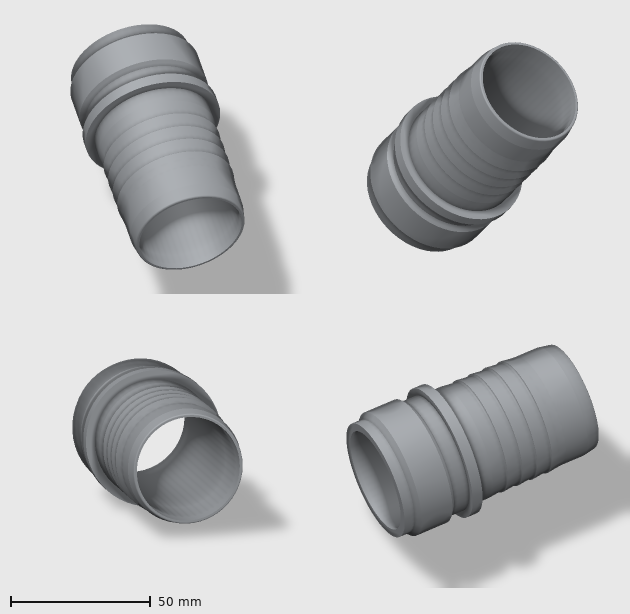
import cadquery as cq

length = 80.0
bore_diameter = 38.0

spigot_diameter = 44.0
spigot_end = 4.0
band_diameter = 47.8
band_start = spigot_end + (band_diameter - spigot_diameter) / 2
band_end = 18.3
neck_diameter = 44.5
neck_start = band_end + (band_diameter - neck_diameter) / 2

collar_diameter = 50.0
collar_start = 26.0
collar_end = 30.0

barb_count = 5
barb_pitch = 6.0
barb_start = 36.0
crest_diameter = 43.4
tail_diameter = 42.0
step_length = 0.8

tip_start = 74.9
tip_diameter = 40.3
rim_rounding = 0.5

bore_radius = bore_diameter / 2
crest_radius = crest_diameter / 2
tail_radius = tail_diameter / 2
tip_radius = tip_diameter / 2
barb_slope = (crest_radius - tail_radius) / barb_pitch
valley_radius = crest_radius - barb_slope * (barb_pitch - step_length)


def add_inlet(profile):
    """Trace the spigot, band, neck and collar up to the first barb."""
    return (
        profile.lineTo(0, spigot_diameter / 2)
        .lineTo(spigot_end, spigot_diameter / 2)
        .lineTo(band_start, band_diameter / 2)
        .lineTo(band_end, band_diameter / 2)
        .lineTo(neck_start, neck_diameter / 2)
        .lineTo(collar_start, neck_diameter / 2)
        .lineTo(collar_start, collar_diameter / 2)
        .lineTo(collar_end, collar_diameter / 2)
        .lineTo(collar_end, crest_radius)
        .lineTo(barb_start, crest_radius)
    )


def add_barbs(profile):
    """Trace the barbs; the last one runs out into the plain tail."""
    for index in range(1, barb_count):
        next_crest = barb_start + index * barb_pitch
        profile = profile.lineTo(next_crest - step_length, valley_radius)
        profile = profile.tangentArcPoint((next_crest, crest_radius), relative=False)
    return profile.lineTo(barb_start + barb_count * barb_pitch, tail_radius)


def add_outlet(profile):
    """Trace the plain tail, the tapered tip and the rounded rim."""
    return (
        profile.lineTo(tip_start, tail_radius)
        .lineTo(length - rim_rounding, tip_radius)
        .tangentArcPoint((length, tip_radius - rim_rounding), relative=False)
        .lineTo(length, bore_radius)
    )


wall_profile = cq.Workplane("XY").moveTo(0, bore_radius)
wall_profile = add_inlet(wall_profile)
wall_profile = add_barbs(wall_profile)
wall_profile = add_outlet(wall_profile)

result = wall_profile.close().revolve(360, (0, 0, 0), (1, 0, 0))